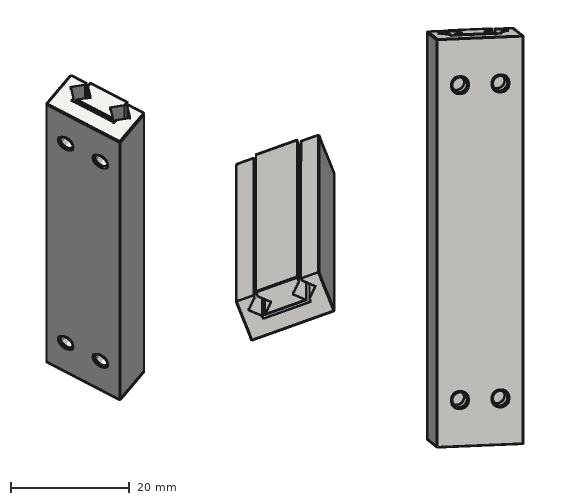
import cadquery as cq

length = 70.0
rail_width = 15.0
rail_height = 7.5
total_height = 8.0

groove_center_y = 5.3
groove_depth = 1.75
channel_half_width = 4.3
channel_floor_y = 3.0

slider_half_width = 3.7
slider_bottom_y = 3.5

hole_diameter = 2.5
hole_mouth_diameter = 3.1
hole_depth = 2.45
hole_spacing_x = 7.0
hole_spacing_z = 54.0
hole_chamfer_angle = 45
hole_chamfer = (hole_mouth_diameter - hole_diameter) / 2

edge_chamfer = 0.15


def v_groove_cutter(face_x, apex_x):
    """Triangular prism with its opening on face_x and its apex at apex_x."""
    corners = [
        (face_x, groove_center_y - groove_depth),
        (apex_x, groove_center_y),
        (face_x, groove_center_y + groove_depth),
    ]
    return cq.Workplane("XY").polyline(corners).close().extrude(length)


def hole_cutters(diameter, depth, taper=0):
    """Four round cutters going in from the rail's outer face, narrowing if tapered."""
    return (
        cq.Workplane("XZ", origin=(0, 0, length / 2))
        .rarray(hole_spacing_x, hole_spacing_z, 2, 2)
        .circle(diameter / 2)
        .extrude(-depth, taper=taper)
    )


def make_rail():
    """U-shaped rail with a V-groove in each inner side and four blind mounting holes.

    Its long outer edges and its ends are chamfered, except for the end edges along +Y.
    """
    rail = cq.Workplane("XY").box(rail_width, rail_height, length, centered=(True, False, False))
    rail = rail.edges("|Z").chamfer(edge_chamfer)
    rail = rail.faces("<Z or >Z").edges("not >Y").chamfer(edge_chamfer)

    channel_depth = rail_height - channel_floor_y
    channel = (
        cq.Workplane("XY")
        .box(2 * channel_half_width, channel_depth, length, centered=(True, False, False))
        .translate((0, channel_floor_y, 0))
    )
    rail = rail.cut(channel)

    for side in (-1, 1):
        apex_x = side * (channel_half_width + groove_depth)
        rail = rail.cut(v_groove_cutter(side * channel_half_width, apex_x))

    holes = hole_cutters(hole_diameter, hole_depth)
    mouths = hole_cutters(hole_mouth_diameter, hole_chamfer, taper=hole_chamfer_angle)
    return rail.cut(holes).cut(mouths)


def make_slider():
    """Bar with a V-groove in each side and chamfered ends on its two wide faces."""
    slider_height = total_height - slider_bottom_y
    slider = (
        cq.Workplane("XY")
        .box(2 * slider_half_width, slider_height, length, centered=(True, False, False))
        .translate((0, slider_bottom_y, 0))
    )
    slider = slider.faces("<Y or >Y").edges("|X").chamfer(edge_chamfer)

    for side in (-1, 1):
        apex_x = side * (slider_half_width - groove_depth)
        slider = slider.cut(v_groove_cutter(side * slider_half_width, apex_x))
    return slider


rail = make_rail()
slider = make_slider()

result = cq.Compound.makeCompound([rail.val(), slider.val()])